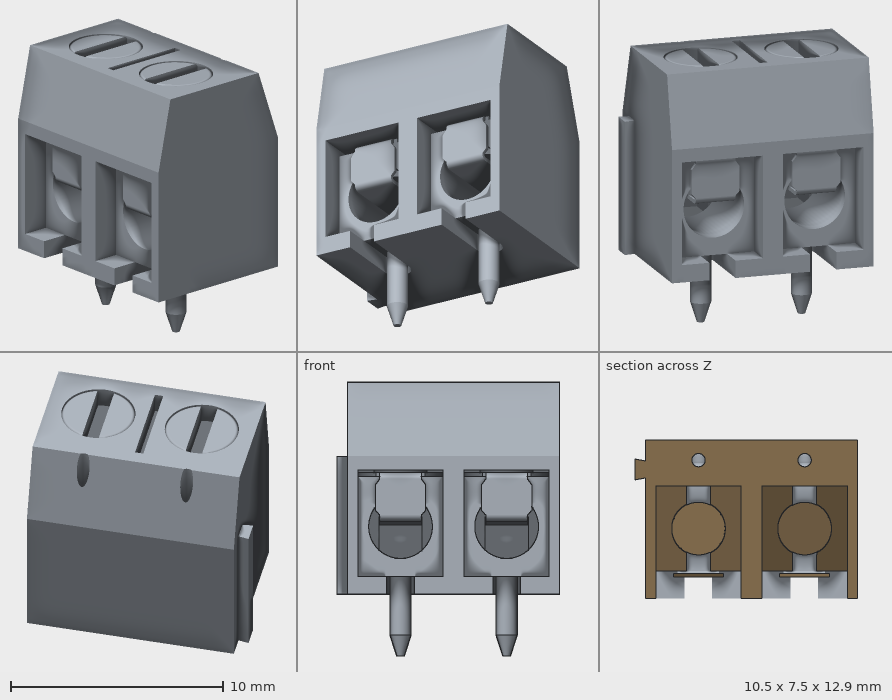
import cadquery as cq
import math


POLES = 2
HOUSING_WIDTH = 10.0
HOUSING_DEPTH = 7.5
HOUSING_HEIGHT = 10.0
PITCH = HOUSING_WIDTH / POLES
FRONT_Y = -3.3
BACK_Y = FRONT_Y + HOUSING_DEPTH
SHOULDER_Z = 6.5
FRONT_SETBACK = 0.75
BACK_SETBACK = 1.21

RIB_DEPTH = 0.5
RIB_OUTER_WIDTH = 1.0
RIB_ROOT_WIDTH = 0.83
RIB_Y = BACK_Y - 1.4

TOP_SLOT_WIDTH = 0.4
TOP_SLOT_LENGTH = 4.23
TOP_SLOT_DEPTH = 1.0
TOP_SLOT_Y = 0.2

CAGE_SIZE = 4.0
FLOOR_Z = 0.85
CHAMBER_HEIGHT = 5.0
CEILING_Z = FLOOR_Z + CHAMBER_HEIGHT
CAGE_TOP_Z = 5.55
CAGE_FRONT_Y = -CAGE_SIZE / 2
CAGE_BACK_Y = CAGE_SIZE / 2
WIRE_HOLE_DIAMETER = 3.0
WIRE_HOLE_Z = 3.2

PIN_DIAMETER = 1.0
PIN_TIP_DIAMETER = 0.36
PIN_LENGTH = 2.9
PIN_BOTTOM_Z = -PIN_LENGTH
PIN_TAPER_HEIGHT = 0.99
PIN_SLOT_WIDTH = 1.3

HEAD_DIAMETER = 3.5
HEAD_HEIGHT = 2.0
HEAD_FILLET = 0.19
SHANK_DIAMETER = 2.5
SHANK_END_Z = 4.26
DRIVE_SLOT_WIDTH = 0.8
DRIVE_SLOT_DEPTH = 1.0

GUARD_THICKNESS = 0.19
GUARD_WIDTH = 1.96
GUARD_TOP_Z = CAGE_TOP_Z + GUARD_THICKNESS
GUARD_RUN_Z = 3.45
BEND_RADIUS = 0.3
GUARD_FRONT_Y = CAGE_FRONT_Y - BEND_RADIUS
INNER_BEND_RADIUS = BEND_RADIUS - GUARD_THICKNESS
NECK_WIDTH = 2.3
PLATE_WIDTH = 2.37
PLATE_TOP_CHAMFER = 0.28
PLATE_BOTTOM_CHAMFER = 0.22
TAIL_DROP = 0.18
TAIL_STEP_END_Y = BACK_Y - 1.11
TAIL_END_Y = BACK_Y - 0.52

POCKET_WIDTH = 2.04
POCKET_BOTTOM_Z = WIRE_HOLE_Z - WIRE_HOLE_DIAMETER / 2
POCKET_TOP_Z = GUARD_RUN_Z + GUARD_THICKNESS
TEST_HOLE_DIAMETER = 0.6
TEST_HOLE_Y = BACK_Y - 0.97

pole_positions = [(i - (POLES - 1) / 2) * PITCH for i in range(POLES)]


def block(width, y_range, z_range):
    """Box centred on X = 0 between two Y and two Z values."""
    size_y = y_range[1] - y_range[0]
    size_z = z_range[1] - z_range[0]
    return (
        cq.Workplane("XY")
        .box(width, size_y, size_z, centered=(True, False, False))
        .translate((0, y_range[0], z_range[0]))
    )


def post(diameter, bottom_z, top_z):
    """Upright cylinder on the Z axis."""
    return cq.Workplane("XY").workplane(offset=bottom_z).circle(diameter / 2).extrude(top_z - bottom_z)


def make_shell():
    """Housing outline with sloped upper front and back, plus the side rib."""
    shell = (
        cq.Workplane("YZ")
        .polyline([
            (FRONT_Y, 0),
            (BACK_Y, 0),
            (BACK_Y, SHOULDER_Z),
            (BACK_Y - BACK_SETBACK, HOUSING_HEIGHT),
            (FRONT_Y + FRONT_SETBACK, HOUSING_HEIGHT),
            (FRONT_Y, SHOULDER_Z),
        ])
        .close()
        .extrude(HOUSING_WIDTH / 2, both=True)
    )
    side_x = -HOUSING_WIDTH / 2
    rib = (
        cq.Workplane("XY")
        .polyline([
            (side_x, RIB_Y - RIB_ROOT_WIDTH / 2),
            (side_x, RIB_Y + RIB_ROOT_WIDTH / 2),
            (side_x - RIB_DEPTH, RIB_Y + RIB_OUTER_WIDTH / 2),
            (side_x - RIB_DEPTH, RIB_Y - RIB_OUTER_WIDTH / 2),
        ])
        .close()
        .extrude(SHOULDER_Z)
    )
    return shell.union(rib)


def make_pole_cavity():
    """Everything removed from the housing for one pole."""
    chamber = block(CAGE_SIZE, (FRONT_Y, CAGE_BACK_Y), (FLOOR_Z, CEILING_Z))
    head_hole = post(HEAD_DIAMETER, HOUSING_HEIGHT - HEAD_HEIGHT, HOUSING_HEIGHT)
    shank_hole = post(SHANK_DIAMETER, CEILING_Z, HOUSING_HEIGHT)
    pin_slot = block(PIN_SLOT_WIDTH, (FRONT_Y, 0), (0, FLOOR_Z)).union(post(PIN_SLOT_WIDTH, 0, FLOOR_Z))
    pocket = block(POCKET_WIDTH, (CAGE_BACK_Y, TAIL_END_Y), (POCKET_BOTTOM_Z, POCKET_TOP_Z))
    test_hole = post(TEST_HOLE_DIAMETER, GUARD_RUN_Z, HOUSING_HEIGHT).translate((0, TEST_HOLE_Y, 0))
    return chamber.union(head_hole).union(shank_hole).union(pin_slot).union(pocket).union(test_hole)


def make_housing():
    housing = make_shell()
    cavity = make_pole_cavity()
    for x in pole_positions:
        housing = housing.cut(cavity.translate((x, 0, 0)))
    top_slot = block(
        TOP_SLOT_WIDTH,
        (TOP_SLOT_Y - TOP_SLOT_LENGTH / 2, TOP_SLOT_Y + TOP_SLOT_LENGTH / 2),
        (HOUSING_HEIGHT - TOP_SLOT_DEPTH, HOUSING_HEIGHT),
    )
    return housing.cut(top_slot)


def make_cage():
    """Clamp cage with its wire hole, screw hole and solder pin."""
    body = block(CAGE_SIZE, (CAGE_FRONT_Y, CAGE_BACK_Y), (FLOOR_Z, CAGE_TOP_Z))
    wire_hole = (
        cq.Workplane("XZ")
        .center(0, WIRE_HOLE_Z)
        .circle(WIRE_HOLE_DIAMETER / 2)
        .extrude(CAGE_SIZE / 2, both=True)
    )
    screw_hole = post(SHANK_DIAMETER, WIRE_HOLE_Z, CAGE_TOP_Z)
    pin = (
        cq.Workplane("XZ")
        .polyline([
            (0, FLOOR_Z),
            (PIN_DIAMETER / 2, FLOOR_Z),
            (PIN_DIAMETER / 2, PIN_BOTTOM_Z + PIN_TAPER_HEIGHT),
            (PIN_TIP_DIAMETER / 2, PIN_BOTTOM_Z),
            (0, PIN_BOTTOM_Z),
        ])
        .close()
        .revolve(360, (0, 0, 0), (0, 1, 0))
    )
    return body.cut(wire_hole).cut(screw_hole).union(pin)


def make_screw():
    """Slotted screw whose head is flush with the housing top."""
    head = post(HEAD_DIAMETER, HOUSING_HEIGHT - HEAD_HEIGHT, HOUSING_HEIGHT)
    head = head.faces(">Z").edges().fillet(HEAD_FILLET)
    shank = post(SHANK_DIAMETER, SHANK_END_Z, HOUSING_HEIGHT - HEAD_HEIGHT)
    drive_slot = block(
        DRIVE_SLOT_WIDTH,
        (-HEAD_DIAMETER / 2, HEAD_DIAMETER / 2),
        (HOUSING_HEIGHT - DRIVE_SLOT_DEPTH, HOUSING_HEIGHT),
    )
    return head.union(shank).cut(drive_slot)


def make_guard_strip():
    """Bent strip: over the cage top, down its front, in through the wire hole, and a stepped tail."""
    diagonal = math.sqrt(0.5)
    bend_y = CAGE_FRONT_Y
    upper_z = GUARD_TOP_Z - BEND_RADIUS
    lower_z = GUARD_RUN_Z + BEND_RADIUS
    back_of_plate_y = GUARD_FRONT_Y + GUARD_THICKNESS
    outer_mid = BEND_RADIUS * diagonal
    inner_mid = INNER_BEND_RADIUS * diagonal
    run_top_z = GUARD_RUN_Z + GUARD_THICKNESS
    step_start_y = TAIL_STEP_END_Y - TAIL_DROP
    miter = GUARD_THICKNESS * math.tan(math.pi / 8)
    strip_end_y = -(SHANK_DIAMETER / 2 + GUARD_THICKNESS)
    return (
        cq.Workplane("YZ")
        .moveTo(strip_end_y, GUARD_TOP_Z)
        .lineTo(bend_y, GUARD_TOP_Z)
        .threePointArc((bend_y - outer_mid, upper_z + outer_mid), (GUARD_FRONT_Y, upper_z))
        .lineTo(GUARD_FRONT_Y, lower_z)
        .threePointArc((bend_y - outer_mid, lower_z - outer_mid), (bend_y, GUARD_RUN_Z))
        .lineTo(step_start_y - miter, GUARD_RUN_Z)
        .lineTo(TAIL_STEP_END_Y - miter, GUARD_RUN_Z - TAIL_DROP)
        .lineTo(TAIL_END_Y, GUARD_RUN_Z - TAIL_DROP)
        .lineTo(TAIL_END_Y, run_top_z - TAIL_DROP)
        .lineTo(TAIL_STEP_END_Y, run_top_z - TAIL_DROP)
        .lineTo(step_start_y, run_top_z)
        .lineTo(bend_y, run_top_z)
        .threePointArc((bend_y - inner_mid, lower_z - inner_mid), (back_of_plate_y, lower_z))
        .lineTo(back_of_plate_y, upper_z)
        .threePointArc((bend_y - inner_mid, upper_z + inner_mid), (bend_y, CAGE_TOP_Z))
        .lineTo(strip_end_y, CAGE_TOP_Z)
        .close()
        .extrude(GUARD_WIDTH / 2, both=True)
    )


def make_guard():
    """Wire guard: a washer under the screw, a neck, the bent strip and a wider front plate."""
    washer = post(CAGE_SIZE, CAGE_TOP_Z, GUARD_TOP_Z)
    neck = block(NECK_WIDTH, (CAGE_FRONT_Y, 0), (CAGE_TOP_Z, GUARD_TOP_Z))
    washer = washer.union(neck).cut(post(SHANK_DIAMETER, CAGE_TOP_Z, GUARD_TOP_Z))
    half_plate = PLATE_WIDTH / 2
    half_strip = GUARD_WIDTH / 2
    plate_top = GUARD_TOP_Z - BEND_RADIUS
    plate_bottom = GUARD_RUN_Z + BEND_RADIUS
    plate = (
        cq.Workplane("XZ", origin=(0, GUARD_FRONT_Y, 0))
        .polyline([
            (-half_strip, plate_bottom),
            (half_strip, plate_bottom),
            (half_plate, plate_bottom + PLATE_BOTTOM_CHAMFER),
            (half_plate, plate_top - PLATE_TOP_CHAMFER),
            (half_strip, plate_top),
            (-half_strip, plate_top),
            (-half_plate, plate_top - PLATE_TOP_CHAMFER),
            (-half_plate, plate_bottom + PLATE_BOTTOM_CHAMFER),
        ])
        .close()
        .extrude(-GUARD_THICKNESS)
    )
    return make_guard_strip().union(washer).union(plate)


def place_at_poles(body):
    """One separate solid of the body at every pole."""
    return [body.translate((x, 0, 0)).solids().val() for x in pole_positions]


housing = make_housing().solids().val()
cages = place_at_poles(make_cage())
screws = place_at_poles(make_screw())
guards = place_at_poles(make_guard())

result = cq.Compound.makeCompound([housing, *cages, *screws, *guards])